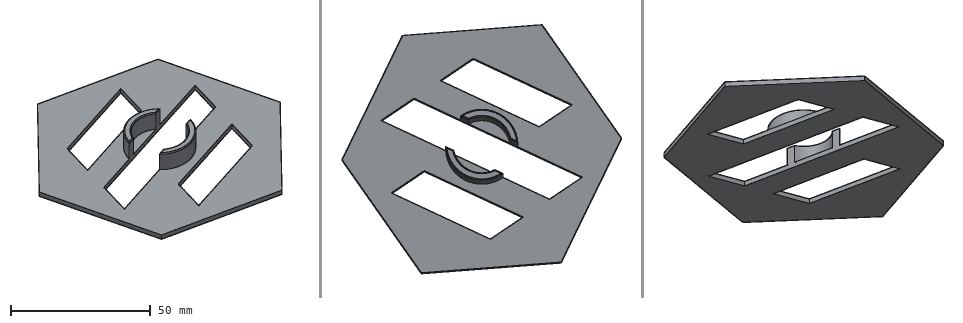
import cadquery as cq
import math

plate_across_corners = 100.5
plate_thickness = 2.0

total_height = 9.5
ring_outer_radius = 13.0
ring_inner_radius = 10.2
ring_chamfer = 0.4

slot_width = 14.3
slot_side_angle = 60.0
slots_half_height = 28.9
side_slot_height = 34.0
side_slot_top_left_x = 1.9


def slot_cutter(top_left_x, top_y, height):
    """Parallelogram prism tall enough to cut through plate and ring."""
    lean = height / math.tan(math.radians(slot_side_angle))
    bottom_y = top_y - height
    return (
        cq.Workplane("XY")
        .moveTo(top_left_x, top_y)
        .lineTo(top_left_x + slot_width, top_y)
        .lineTo(top_left_x + slot_width + lean, bottom_y)
        .lineTo(top_left_x + lean, bottom_y)
        .close()
        .extrude(total_height)
    )


plate = (
    cq.Workplane("XY")
    .polygon(6, plate_across_corners)
    .extrude(plate_thickness)
    .rotate((0, 0, 0), (0, 0, 1), 90)
)

central_height = 2 * slots_half_height
central_lean = central_height / math.tan(math.radians(slot_side_angle))
central_top_left_x = -(central_lean + slot_width) / 2
central_slot = slot_cutter(central_top_left_x, slots_half_height, central_height)

ring = (
    cq.Workplane("XY")
    .workplane(offset=plate_thickness)
    .circle(ring_outer_radius)
    .circle(ring_inner_radius)
    .extrude(total_height - plate_thickness)
    .cut(central_slot)
    .faces(">Z")
    .edges()
    .chamfer(ring_chamfer)
)

right_slot = slot_cutter(side_slot_top_left_x, slots_half_height, side_slot_height)
left_slot = right_slot.rotate((0, 0, 0), (0, 0, 1), 180)

for slot in (central_slot, right_slot, left_slot):
    plate = plate.cut(slot)

result = plate.union(ring)